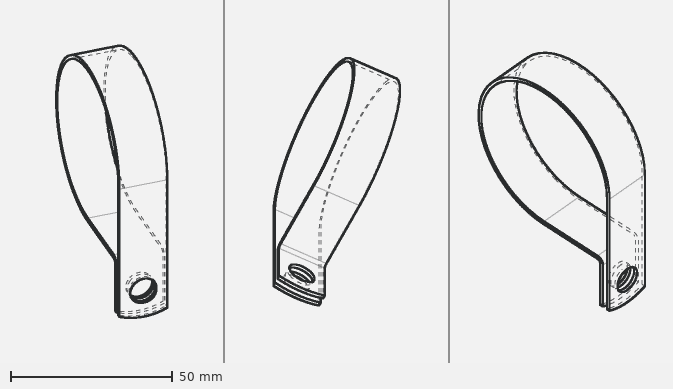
import cadquery as cq
import math

loop_diameter = 56.4
strap_width = 15.85
total_height = 76.55

thickness = 1.2
leg_gap = 1.6
bend_inner_radius = 1.15
hole_diameter = 8.7
hole_to_tip = 9.5
tip_sagitta = 1.6

outer_radius = loop_diameter / 2
inner_radius = outer_radius - thickness
bend_outer_radius = bend_inner_radius + thickness
tip_z = outer_radius - total_height
short_leg_right = inner_radius - leg_gap
short_leg_left = short_leg_right - thickness
bend_x = short_leg_left - bend_inner_radius
bend_z = -outer_radius - bend_inner_radius
half_width = strap_width / 2
diagonal = math.sqrt(0.5)


def make_strap():
    """Bent strip: long leg, three-quarter loop, flat shelf, bend and short leg."""
    profile = (
        cq.Workplane("XZ")
        .moveTo(outer_radius, tip_z)
        .lineTo(outer_radius, 0)
        .threePointArc((-outer_radius * diagonal, outer_radius * diagonal), (0, -outer_radius))
        .lineTo(bend_x, -outer_radius)
        .threePointArc(
            (bend_x + bend_inner_radius * diagonal, bend_z + bend_inner_radius * diagonal),
            (short_leg_left, bend_z),
        )
        .lineTo(short_leg_left, tip_z)
        .lineTo(short_leg_right, tip_z)
        .lineTo(short_leg_right, bend_z)
        .threePointArc(
            (bend_x + bend_outer_radius * diagonal, bend_z + bend_outer_radius * diagonal),
            (bend_x, -inner_radius),
        )
        .lineTo(0, -inner_radius)
        .threePointArc((-inner_radius * diagonal, inner_radius * diagonal), (inner_radius, 0))
        .lineTo(inner_radius, tip_z)
        .close()
    )
    return profile.extrude(half_width, both=True)


def make_side_envelope():
    """Full strap width with a shallow arc across the leg tips."""
    shoulder_z = tip_z + tip_sagitta
    return (
        cq.Workplane("YZ")
        .moveTo(-half_width, outer_radius)
        .lineTo(-half_width, shoulder_z)
        .threePointArc((0, tip_z), (half_width, shoulder_z))
        .lineTo(half_width, outer_radius)
        .close()
        .extrude(outer_radius, both=True)
    )


def make_bolt_hole():
    """Cylinder along X that pierces both legs."""
    return (
        cq.Workplane("YZ")
        .center(0, tip_z + hole_to_tip)
        .circle(hole_diameter / 2)
        .extrude(outer_radius)
    )


result = make_strap().intersect(make_side_envelope()).cut(make_bolt_hole())